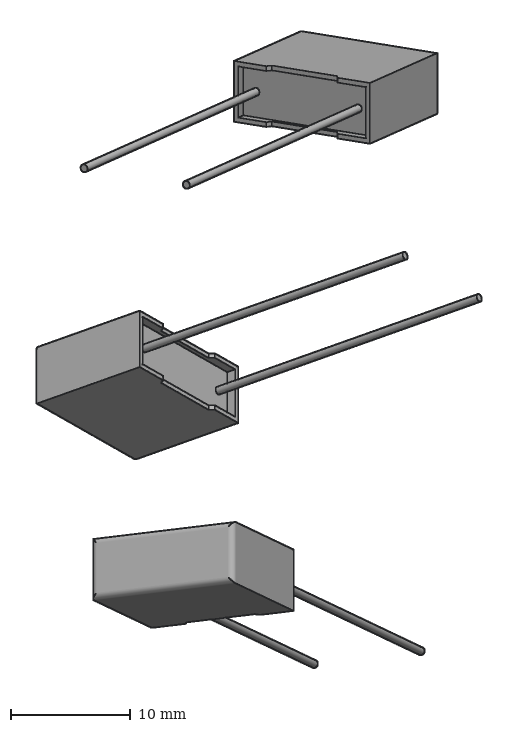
import cadquery as cq

total_length = 38.3
case_width = 13.3
case_length = 11.3
case_height = 5.3
wall = 0.42
end_fillet = 0.5

potting_recess = 0.85

notch_depth = 0.42
notch_mouth_width = 6.97
notch_floor_width = 6.35

lead_diameter = 0.7
lead_pitch = 10.0

closed_end_y = total_length / 2
rim_y = closed_end_y - case_length
potting_face_y = rim_y + potting_recess
cavity_end_y = closed_end_y - wall
lead_tip_y = -total_length / 2

cavity_width = case_width - 2 * wall
cavity_height = case_height - 2 * wall


def make_block(width, height, start_y, end_y):
    """Box centred on the Y axis, running from start_y to end_y."""
    length = end_y - start_y
    return cq.Workplane("XY").box(width, length, height).translate((0, start_y + length / 2, 0))


def make_rim_notch():
    """Trapezoidal cutter that passes through both long walls of the rim."""
    return (
        cq.Workplane("XY")
        .moveTo(-notch_mouth_width / 2, rim_y)
        .lineTo(notch_mouth_width / 2, rim_y)
        .lineTo(notch_floor_width / 2, rim_y + notch_depth)
        .lineTo(-notch_floor_width / 2, rim_y + notch_depth)
        .close()
        .extrude(case_height, both=True)
    )


def make_case():
    """Box-shaped shell, open at the rim and rounded around its closed end."""
    shell = make_block(case_width, case_height, rim_y, closed_end_y)
    shell = shell.faces(">Y").edges().fillet(end_fillet)
    cavity = make_block(cavity_width, cavity_height, rim_y, cavity_end_y)
    return shell.cut(cavity).cut(make_rim_notch())


def make_potting():
    """Potting compound that fills the case up to the recessed face."""
    return make_block(cavity_width, cavity_height, potting_face_y, cavity_end_y)


def make_lead(x):
    """Straight round lead from the potting face to the tip."""
    return (
        cq.Workplane("XZ", origin=(x, potting_face_y, 0))
        .circle(lead_diameter / 2)
        .extrude(potting_face_y - lead_tip_y)
    )


case = make_case()
potting = make_potting()
leads = [make_lead(side * lead_pitch / 2) for side in (-1, 1)]

result = cq.Compound.makeCompound([case.val(), potting.val(), *[lead.val() for lead in leads]])